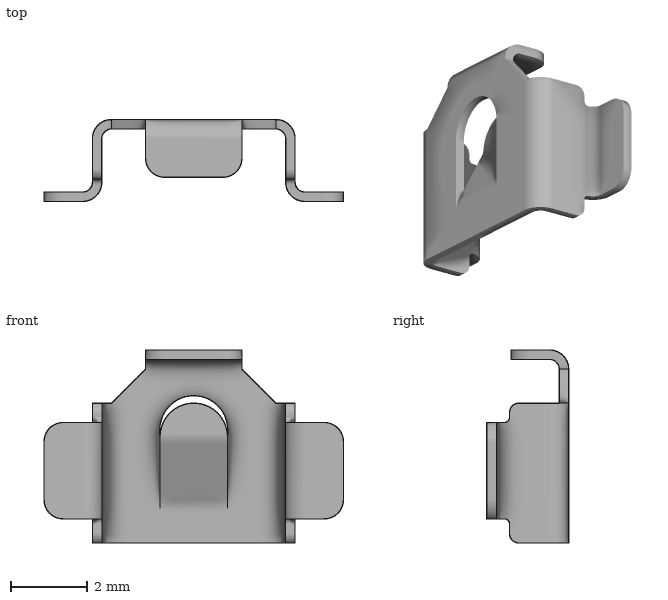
import cadquery as cq
import math


thickness = 0.254
inner_bend = 0.254
outer_bend = inner_bend + thickness
bend_middle = math.radians(45)
corner_radius = 0.508

total_width = 7.874
total_depth = 2.159
total_height = 5.08

body_width = 5.334
wall_height = 3.683
wall_depth = 1.562
wall_corner_radius = 0.254
foot_bottom = 0.635
foot_height = 2.54
foot_notch_radius = 0.127

tab_width = 2.54
tab_depth = 1.524

window_width = 1.778
window_bottom = 0.921
window_top = 3.873
tongue_top = wall_height
tongue_offset = 0.889
tongue_angle = math.radians(27.7)
tongue_bend = 0.53

half_body = body_width / 2
half_total = total_width / 2
plate_half_width = half_body - outer_bend
tab_bend_z = total_height - outer_bend
foot_top = foot_bottom + foot_height
foot_bend_x = half_body + inner_bend
foot_rear_y = thickness - total_depth
foot_bend_y = -(total_depth - outer_bend)


def bend_point(center, radius, angle):
    """Point on a bend arc, at an angle in radians from the first axis of the sketch."""
    return (center[0] + radius * math.cos(angle), center[1] + radius * math.sin(angle))


def make_side():
    """Half of the hat section: plate half, wall bend, wall, foot bend and foot, on the +X side."""
    wall_center = (plate_half_width, -outer_bend)
    foot_center = (foot_bend_x, foot_bend_y)
    wall_mid = bend_middle
    foot_mid = math.pi + bend_middle
    strip = (
        cq.Workplane("XY")
        .moveTo(0, 0)
        .lineTo(plate_half_width, 0)
        .threePointArc(bend_point(wall_center, outer_bend, wall_mid), (half_body, -outer_bend))
        .lineTo(half_body, foot_bend_y)
        .threePointArc(bend_point(foot_center, inner_bend, foot_mid), (foot_bend_x, foot_rear_y))
        .lineTo(half_total, foot_rear_y)
        .lineTo(half_total, -total_depth)
        .lineTo(foot_bend_x, -total_depth)
        .threePointArc(bend_point(foot_center, outer_bend, foot_mid), (half_body - thickness, foot_bend_y))
        .lineTo(half_body - thickness, -outer_bend)
        .threePointArc(bend_point(wall_center, inner_bend, wall_mid), (plate_half_width, -thickness))
        .lineTo(0, -thickness)
        .close()
        .extrude(wall_height)
    )
    return strip.intersect(make_wall_outline()).edges("|Y and >X").fillet(corner_radius)


def round_outline(outline, heights, radius):
    """Fillet the outline's edges along X that lie at the wall's front edge at the given heights."""
    for height in heights:
        lower = (0, -wall_depth - radius / 2, height - radius / 2)
        upper = (half_total, -wall_depth + radius / 2, height + radius / 2)
        selector = cq.selectors.BoxSelector(lower, upper)
        outline = outline.edges("|X").edges(selector).fillet(radius)
    return outline


def make_wall_outline():
    """Side outline of the wall and foot, as a prism along X that trims the bent strip."""
    wall = (
        cq.Workplane("YZ")
        .moveTo(0, 0)
        .lineTo(-wall_depth, 0)
        .lineTo(-wall_depth, foot_bottom)
        .lineTo(-total_depth, foot_bottom)
        .lineTo(-total_depth, foot_top)
        .lineTo(-wall_depth, foot_top)
        .lineTo(-wall_depth, wall_height)
        .lineTo(0, wall_height)
        .close()
        .extrude(half_total)
    )
    wall = round_outline(wall, (0, wall_height), wall_corner_radius)
    return round_outline(wall, (foot_bottom, foot_top), foot_notch_radius)


def make_plate_top():
    """Tapered upper part of the plate, running at 45 degrees from the walls up to the tab."""
    return (
        cq.Workplane("XZ")
        .moveTo(-plate_half_width, wall_height)
        .lineTo(plate_half_width, wall_height)
        .lineTo(tab_width / 2, tab_bend_z)
        .lineTo(-tab_width / 2, tab_bend_z)
        .close()
        .extrude(thickness)
    )


def make_tab():
    """Top tab bent forward from the plate, with rounded front corners."""
    center = (-outer_bend, tab_bend_z)
    return (
        cq.Workplane("YZ")
        .moveTo(0, tab_bend_z)
        .threePointArc(bend_point(center, outer_bend, bend_middle), (-outer_bend, total_height))
        .lineTo(-tab_depth, total_height)
        .lineTo(-tab_depth, total_height - thickness)
        .lineTo(-outer_bend, total_height - thickness)
        .threePointArc(bend_point(center, inner_bend, bend_middle), (-thickness, tab_bend_z))
        .close()
        .extrude(tab_width / 2, both=True)
        .edges("|Z and <Y")
        .fillet(corner_radius)
    )


def make_arch(bottom, top, depth):
    """Round-topped prism of the window width, running forward from the rear face."""
    half_width = window_width / 2
    return (
        cq.Workplane("XZ")
        .moveTo(-half_width, bottom)
        .lineTo(half_width, bottom)
        .lineTo(half_width, top - half_width)
        .threePointArc((0, top), (-half_width, top - half_width))
        .close()
        .extrude(depth)
    )


def make_tongue():
    """Spring tongue: leans forward from the window sill, then turns upright again."""
    sine = math.sin(tongue_angle)
    bend_drop = 2 * tongue_bend * (1 - math.cos(tongue_angle))
    slope_rise = (tongue_offset - bend_drop) / math.tan(tongue_angle)
    upper_bend_z = window_bottom + 2 * tongue_bend * sine + slope_rise
    lower = (-thickness - tongue_bend, window_bottom)
    upper = (-thickness - tongue_offset + tongue_bend, upper_bend_z)
    lower_rear = tongue_bend + thickness
    upper_rear = tongue_bend - thickness
    turned = math.pi + tongue_angle
    half_turned = math.pi + tongue_angle / 2
    profile = (
        cq.Workplane("YZ")
        .moveTo(-thickness, window_bottom)
        .threePointArc(
            bend_point(lower, tongue_bend, tongue_angle / 2),
            bend_point(lower, tongue_bend, tongue_angle),
        )
        .lineTo(*bend_point(upper, tongue_bend, turned))
        .threePointArc(
            bend_point(upper, tongue_bend, half_turned),
            bend_point(upper, tongue_bend, math.pi),
        )
        .lineTo(-thickness - tongue_offset, tongue_top)
        .lineTo(-tongue_offset, tongue_top)
        .lineTo(*bend_point(upper, upper_rear, math.pi))
        .threePointArc(bend_point(upper, upper_rear, half_turned), bend_point(upper, upper_rear, turned))
        .lineTo(*bend_point(lower, lower_rear, tongue_angle))
        .threePointArc(bend_point(lower, lower_rear, tongue_angle / 2), (0, window_bottom))
        .close()
        .extrude(window_width / 2, both=True)
    )
    return profile.intersect(make_arch(window_bottom, tongue_top, total_depth))


side = make_side()
body = side.union(side.mirror("YZ")).union(make_plate_top()).union(make_tab())
body = body.cut(make_arch(window_bottom, window_top, thickness))
result = body.union(make_tongue()).clean()